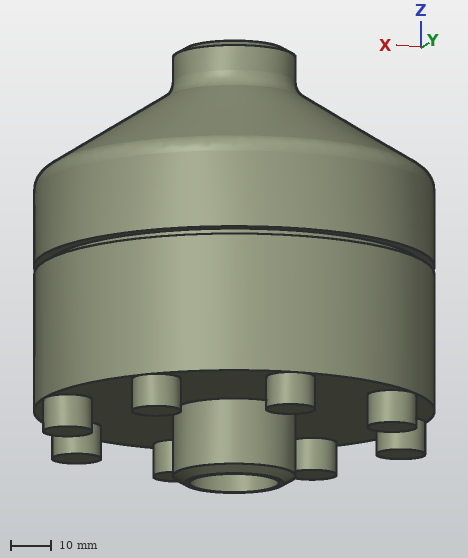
import cadquery as cq
import math

total_height = 108.0
body_radius = 98.0 / 2
body_bottom = 18.0
groove_bottom = 52.2
groove_top = 54.0
groove_radius = 92.0 / 2

shoulder_bottom = 75.6
shoulder_top = 97.2
shoulder_fillet = 5.0

pipe_radius = 30.0 / 2
bore_radius = 22.0 / 2
bevel_width = 3.0
bevel_angle = 30.0
bevel_height = bevel_width * math.tan(math.radians(bevel_angle))

pin_count = 8
pin_diameter = 12.0
pin_length = 8.0
pin_circle_radius = body_radius - pin_diameter / 2


def make_housing():
    """Revolve the outer half-profile, then round both ends of the cone."""
    profile = [
        (0, 0),
        (pipe_radius - bevel_width, 0),
        (pipe_radius, bevel_height),
        (pipe_radius, body_bottom),
        (body_radius, body_bottom),
        (body_radius, groove_bottom),
        (groove_radius, groove_bottom),
        (groove_radius, groove_top),
        (body_radius, groove_top),
        (body_radius, shoulder_bottom),
        (pipe_radius, shoulder_top),
        (pipe_radius, total_height - bevel_height),
        (pipe_radius - bevel_width, total_height),
        (0, total_height),
    ]
    housing = cq.Workplane("XZ").polyline(profile).close().revolve(360, (0, 0), (0, 1))
    cone_edges = housing.faces("%CONE").edges("%CIRCLE").filter(
        lambda edge: shoulder_bottom - shoulder_fillet < edge.Center().z < shoulder_top + shoulder_fillet
    )
    return cone_edges.fillet(shoulder_fillet)


def make_pins():
    """Ring of pins hanging below the body."""
    return (
        cq.Workplane("XY", origin=(0, 0, body_bottom))
        .polarArray(pin_circle_radius, 0, 360, pin_count)
        .circle(pin_diameter / 2)
        .extrude(-pin_length)
    )


bore = cq.Workplane("XY").circle(bore_radius).extrude(total_height)
result = make_housing().union(make_pins()).cut(bore)